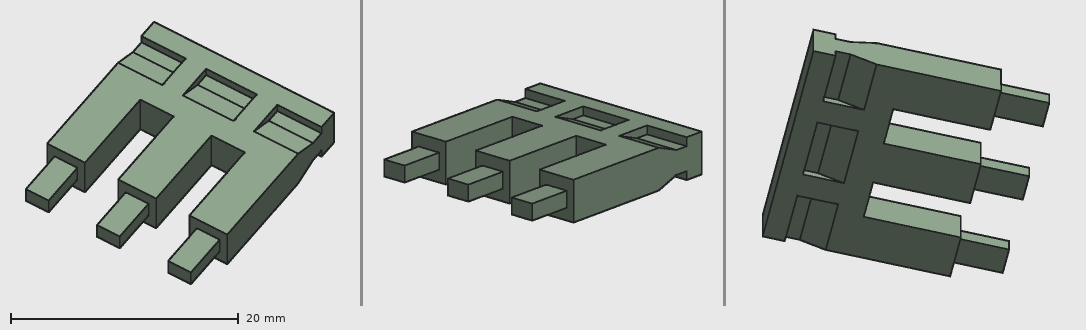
import cadquery as cq

total_length = 21.5
thickness = 4.0
leg_count = 3
leg_pitch = 7.5
leg_width = 4.0
body_width = (leg_count - 1) * leg_pitch + leg_width
bridge_length = 8.17

pin_width = 2.4
pin_height = 1.6
pin_length = 4.55
body_length = total_length - pin_length

pocket_width = 5.33
pocket_depth = 0.84
pocket_start = 2.0
pocket_floor_length = 1.35
pocket_end = 5.7

leg_centers = [(i - (leg_count - 1) / 2) * leg_pitch for i in range(leg_count)]


def block(width, length, height, center_x, back_y):
    """Box centred on Z = 0, running toward -Y from back_y."""
    return (
        cq.Workplane("XY")
        .box(width, length, height, centered=(True, False, True))
        .translate((center_x, back_y - length, 0))
    )


def grip_pocket(center_x):
    """Cutter for a top pocket: steep back wall, flat floor and sloping front."""
    surface = thickness / 2
    floor = surface - pocket_depth
    return (
        cq.Workplane("YZ", origin=(center_x, 0, 0))
        .moveTo(-pocket_start, surface)
        .lineTo(-pocket_start, floor)
        .lineTo(-pocket_start - pocket_floor_length, floor)
        .lineTo(-pocket_end, surface)
        .close()
        .extrude(pocket_width / 2, both=True)
    )


result = block(body_width, bridge_length, thickness, 0, 0)

for x in leg_centers:
    result = result.union(block(leg_width, body_length, thickness, x, 0))
    result = result.union(block(pin_width, pin_length, pin_height, x, -body_length))

for x in leg_centers:
    pocket = grip_pocket(x)
    result = result.cut(pocket).cut(pocket.mirror("XY"))